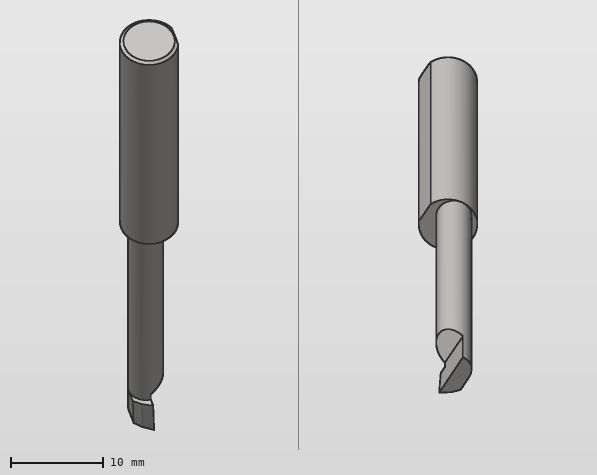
import cadquery as cq
import math

overall_length = 63.49
shank_diameter = 6.35
shank_radius = shank_diameter / 2
shank_width_y = 6.1
flat_y = shank_width_y - shank_radius
shank_length = 30.45
shank_base_z = overall_length - shank_length
top_chamfer_radial = 0.4
top_chamfer_axial = 0.22

neck_diameter = 3.85
neck_radius = neck_diameter / 2
neck_x = neck_radius - shank_radius

rake_y = 0
runout_start_z = 4.65
runout_end_z = 6.25

block_height = 3.75
tip_x = 1.9
lean_angle = 5
facet_corner_x = 1.3
facet_corner_y = -1.15
heel_x = 0.6

end_rise_x_angle = 2
end_rise_y_angle = 9
end_cutter_side = 4 * shank_diameter


def make_shank():
    shank = cq.Workplane("XY").workplane(offset=shank_base_z).circle(shank_radius).extrude(shank_length)
    shank = shank.faces(">Z").chamfer(top_chamfer_axial, top_chamfer_radial)
    beyond_flat = cq.Workplane("XY").box(
        shank_diameter, shank_diameter, overall_length, centered=(True, False, False)
    )
    return shank.cut(beyond_flat.translate((0, flat_y, 0)))


def make_neck():
    neck = cq.Workplane("XY").center(neck_x, 0).circle(neck_radius).extrude(shank_base_z)
    relief = (
        cq.Workplane("YZ")
        .polyline([
            (rake_y, 0),
            (rake_y, runout_start_z),
            (neck_radius, runout_end_z),
            (neck_radius, 0),
        ])
        .close()
        .extrude(shank_diameter, both=True)
    )
    return neck.cut(relief)


def block_section(lean):
    """Corners of the block section, with the relief facets moved inward by `lean`."""
    return [
        (neck_x, rake_y),
        (neck_x, -neck_radius),
        (heel_x - lean, -neck_radius),
        (facet_corner_x - lean, facet_corner_y),
        (tip_x - lean, rake_y),
    ]


def make_cutting_block():
    top_lean = block_height * math.tan(math.radians(lean_angle))
    return (
        cq.Workplane("XY")
        .polyline(block_section(0))
        .close()
        .workplane(offset=block_height)
        .polyline(block_section(top_lean))
        .close()
        .loft(ruled=True)
    )


def below_end_face():
    slope_x = math.tan(math.radians(end_rise_x_angle))
    slope_y = math.tan(math.radians(end_rise_y_angle))
    end_plane = cq.Plane(origin=(tip_x, rake_y, 0), xDir=(1, 0, -slope_x), normal=(slope_x, slope_y, 1))
    return cq.Workplane(end_plane).rect(end_cutter_side, end_cutter_side).extrude(-shank_diameter)


tool_tip = make_neck().union(make_cutting_block()).cut(below_end_face())
result = make_shank().union(tool_tip)